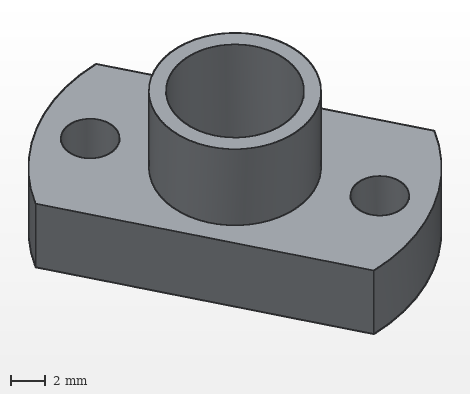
import cadquery as cq

flange_diameter = 23.95
flange_width = 12.5
flange_thickness = 5.0

total_height = 11.0
boss_diameter = 10.0
bore_diameter = 8.0

mount_hole_diameter = 3.4
mount_hole_spacing = 17.5

disc = cq.Workplane("XY").circle(flange_diameter / 2).extrude(flange_thickness)
flats_envelope = cq.Workplane("XY").rect(flange_diameter, flange_width).extrude(flange_thickness)
flange = disc.intersect(flats_envelope)

boss = cq.Workplane("XY").circle(boss_diameter / 2).extrude(total_height)

bore = cq.Workplane("XY").circle(bore_diameter / 2).extrude(total_height)
mount_holes = (
    cq.Workplane("XY")
    .rarray(mount_hole_spacing, 0.25, 2, 1)
    .circle(mount_hole_diameter / 2)
    .extrude(flange_thickness)
)

result = flange.union(boss).cut(bore).cut(mount_holes)